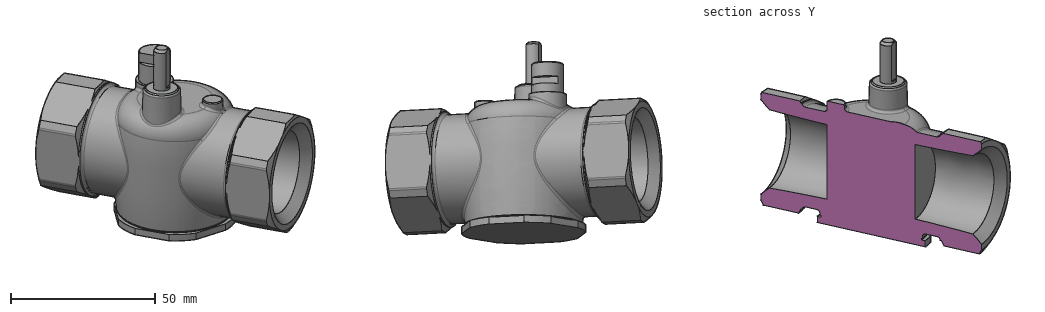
import cadquery as cq
import math


half_length = 44.0
pipe_radius = 18.9
hex_inner_x = 27.4
hex_half_flats = 20.0
hex_corner_cut = 22.2
hex_top_cut = 20.8
hex_bottom_cut = 21.8
hex_edge_round = 1.4
face_edge_radius = 20.1
cone_tilt = math.radians(30)
inner_cone_inset = 0.5
neck_round = 1.1

mouth_radius = 17.9
bore_radius = 14.7
bore_end_radius = 14.0
mouth_depth = 3.5
bore_floor_x = 17.6

body_radius = 21.25
belt_radius = 21.1
belt_top_z = 8.3
belt_bottom_z = -10.0
waist_z = -0.9
shoulder_radius = 20.6
shoulder_z = 13.7
dome_z = 20.7
dome_flat_radius = 13.2
body_foot_radius = 20.4
joint_round = 1.1

base_bottom_z = -23.8
base_top_z = -21.3
base_radius = 21.6
base_half_flats = 20.6
base_groove_radius = 20.1
base_groove_height = 0.4

post_x = -10.7
post_y = 6.9
post_radius = 5.5
post_top_z = 34.0
post_boss_radius = 6.5
post_boss_z = 23.1
post_edge_chamfer = 0.35
post_flat_y = 3.3
post_flat_z = 30.45
post_slot_y = 9.9
post_slot_bottom_z = 26.3
post_slot_top_z = 28.9

spindle_y = -11.9
gland_radius = 6.5
gland_z = 29.5
gland_round = 0.6
gland_lip_radius = 5.5
gland_lip_z = 29.9
spindle_radius = 2.9
spindle_top_z = 45.1
spindle_flat_x = 2.3
spindle_flat_z = 30.8
spindle_chamfer = 0.9

pin_x = 14.1
pin_radius = 3.5
pin_top_z = 23.1
pin_chamfer = 0.35

boss_root_z = 8.8
boss_joint_round = 1.1
boss_draft = math.radians(1.5)


def upright(radius, x, y, bottom_z, top_z):
    """Vertical cylinder between two heights."""
    return cq.Workplane("XY", origin=(x, y, bottom_z)).circle(radius).extrude(top_z - bottom_z)


def block(x_range, y_range, z_range):
    """Axis-aligned box given by its limits."""
    corner = (x_range[0], y_range[0], z_range[0])
    sizes = [limits[1] - limits[0] for limits in (x_range, y_range, z_range)]
    return cq.Workplane("XY").box(*sizes, centered=False).translate(corner)


def revolve_about_pipe(points):
    """Turn an outline of (x, radius) points about the pipe axis."""
    return cq.Workplane("XY").polyline(points).close().revolve(360, (0, 0, 0), (1, 0, 0))


def hex_end():
    """Hexagonal wrench end on -X: flats toward Y, trimmed corners, both ends coned off."""
    corner_diameter = 2 * hex_half_flats / math.cos(math.pi / 6)
    width = half_length - hex_inner_x
    side_plane = cq.Workplane("YZ", origin=(-half_length, 0, 0))
    hexagon = side_plane.polygon(6, corner_diameter).extrude(width)
    hexagon = hexagon.rotate((0, 0, 0), (1, 0, 0), 90)

    trim = side_plane.polygon(6, 2 * hex_corner_cut / math.cos(math.pi / 6)).extrude(width)
    height_limit = block(
        (-half_length, -hex_inner_x),
        (-corner_diameter, corner_diameter),
        (-hex_bottom_cut, hex_top_cut),
    )
    hexagon = hexagon.intersect(trim).intersect(height_limit)

    for side in (">Y", "<Y"):
        hexagon = hexagon.faces(side).edges("|X").fillet(hex_edge_round)

    cone_height = corner_diameter / 2 - face_edge_radius
    cone_run = cone_height * math.tan(cone_tilt)
    inner_cone_x = hex_inner_x + inner_cone_inset
    envelope = revolve_about_pipe([
        (-half_length, 0),
        (-half_length, face_edge_radius),
        (-half_length + cone_run, corner_diameter / 2),
        (-inner_cone_x - cone_run, corner_diameter / 2),
        (-inner_cone_x, face_edge_radius),
        (-hex_inner_x, face_edge_radius),
        (-hex_inner_x, 0),
    ])
    return hexagon.intersect(envelope)


def neck_fillet():
    """Concave ring that blends the -X hexagon into the pipe."""
    arc_centre = (-hex_inner_x + neck_round, pipe_radius + neck_round)
    diagonal = neck_round * math.sqrt(0.5)
    return (
        cq.Workplane("XY")
        .moveTo(-hex_inner_x, pipe_radius - neck_round)
        .lineTo(-hex_inner_x, arc_centre[1])
        .threePointArc((arc_centre[0] - diagonal, arc_centre[1] - diagonal), (arc_centre[0], pipe_radius))
        .lineTo(arc_centre[0], pipe_radius - neck_round)
        .close()
        .revolve(360, (0, 0, 0), (1, 0, 0))
    )


def port():
    """Blind, slightly tapered bore with a coned mouth, opening toward -X."""
    return revolve_about_pipe([
        (-half_length, 0),
        (-half_length, mouth_radius),
        (-half_length + mouth_depth, bore_radius),
        (-bore_floor_x, bore_end_radius),
        (-bore_floor_x, 0),
    ])


def barrel():
    """Barrel body turned about Z, with a rounded shoulder up to the flat crown."""
    dome_width = shoulder_radius - dome_flat_radius
    dome_height = dome_z - shoulder_z
    dome_middle = (
        dome_flat_radius + dome_width * math.sqrt(0.5),
        shoulder_z + dome_height * math.sqrt(0.5),
    )
    bulge = [
        (belt_radius, belt_bottom_z),
        (body_radius, waist_z),
        (belt_radius, belt_top_z),
        (shoulder_radius, shoulder_z),
    ]
    return (
        cq.Workplane("YZ")
        .moveTo(0, base_top_z)
        .lineTo(base_groove_radius, base_top_z)
        .lineTo(base_groove_radius, base_top_z + base_groove_height)
        .lineTo(body_foot_radius, base_top_z + base_groove_height)
        .spline(bulge, includeCurrent=True)
        .threePointArc(dome_middle, (dome_flat_radius, dome_z))
        .lineTo(0, dome_z)
        .close()
        .revolve(360, (0, 0, 0), (0, 1, 0))
    )


def base_plate():
    """Round bottom plate with six shallow wrench flats, two of them facing Y."""
    thickness = base_top_z - base_bottom_z
    plane = cq.Workplane("XY", origin=(0, 0, base_bottom_z))
    hexagon = plane.polygon(6, 2 * base_half_flats / math.cos(math.pi / 6)).extrude(thickness)
    return hexagon.intersect(plane.circle(base_radius).extrude(thickness))


def boss(top_radius, x, y, top_z):
    """Drafted boss, wider toward its root, which is buried in the barrel."""
    height = top_z - boss_root_z
    root_radius = top_radius + height * math.tan(boss_draft)
    return cq.Workplane(cq.Solid.makeCone(root_radius, top_radius, height, cq.Vector(x, y, boss_root_z)))


def add_boss(body, new_boss):
    """Join a boss to the crown and round the edge at its root."""
    bounds = new_boss.val().BoundingBox()
    root_zone = cq.selectors.BoxSelector(
        (bounds.xmin, bounds.ymin, boss_root_z),
        (bounds.xmax, bounds.ymax, dome_z + boss_joint_round / 2),
        boundingbox=True,
    )
    return body.union(new_boss).edges(root_zone).fillet(boss_joint_round)


def gland():
    """Spindle boss with a rounded rim and a low coned lip on top."""
    rim = boss(gland_radius, 0, spindle_y, gland_z).faces(">Z").fillet(gland_round)
    lip_height = gland_lip_z - gland_z
    lip = cq.Solid.makeCone(
        gland_radius - gland_round,
        gland_lip_radius,
        lip_height,
        cq.Vector(0, spindle_y, gland_z),
    )
    return rim.union(cq.Workplane(lip))


def stop_post():
    """Stop post with a flat on its top and a cross slot on its +Y side."""
    post = upright(post_radius, post_x, post_y, post_boss_z, post_top_z)
    post = post.faces(">Z").chamfer(post_edge_chamfer)
    x_range = (post_x - post_radius, post_x + post_radius)
    y_range = (post_y - post_radius, post_y + post_radius)
    flat = block(x_range, (y_range[0], post_flat_y), (post_flat_z, post_top_z))
    slot = block(x_range, (post_slot_y, y_range[1]), (post_slot_bottom_z, post_slot_top_z))
    return post.cut(flat).cut(slot)


def spindle():
    """Spindle with two flats facing X, standing on the gland."""
    shaft = upright(spindle_radius, 0, spindle_y, gland_z, spindle_top_z)
    shaft = shaft.faces(">Z").chamfer(spindle_chamfer)
    for inner_x, outer_x in ((-spindle_radius, -spindle_flat_x), (spindle_flat_x, spindle_radius)):
        y_range = (spindle_y - spindle_radius, spindle_y + spindle_radius)
        shaft = shaft.cut(block((inner_x, outer_x), y_range, (spindle_flat_z, spindle_top_z)))
    return shaft


def mirrored_pair(left):
    """The -X shape together with its mirror image on +X."""
    return left.union(left.mirror("YZ"))


pipe = cq.Workplane("YZ").circle(pipe_radius).extrude(hex_inner_x, both=True)
result = barrel().union(pipe).edges("%BSPLINE").fillet(joint_round)

result = add_boss(result, boss(post_boss_radius, post_x, post_y, post_boss_z))
result = add_boss(result, gland())
result = add_boss(result, boss(pin_radius, pin_x, 0, pin_top_z).faces(">Z").chamfer(pin_chamfer))

result = result.union(stop_post())
result = result.union(spindle())
result = result.union(base_plate())
result = result.union(mirrored_pair(hex_end().union(neck_fillet())))
result = result.cut(mirrored_pair(port()))